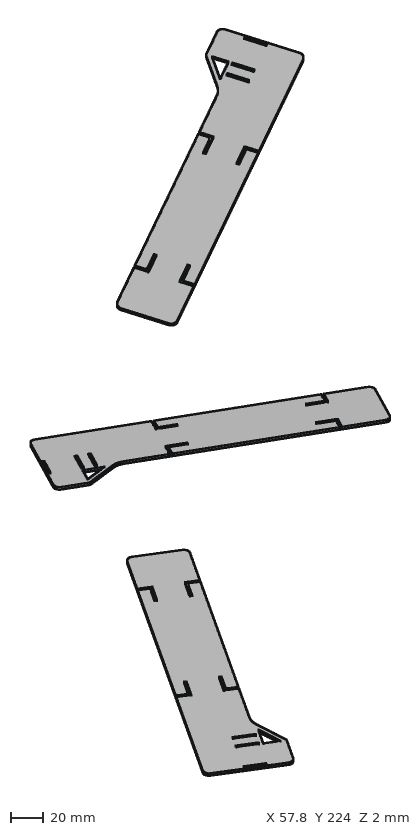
import cadquery as cq

length = 224.0
head_width = 57.8
body_width = 40.0
thickness = 2.0
corner_radius = 4.0
body_left = head_width - body_width

shoulder_top = length - 22.6
shoulder_bottom = length - 45.5
shoulder_top_radius = 2.2
shoulder_bottom_radius = 12.0
shoulder_slope = (shoulder_top - shoulder_bottom) / body_left

window_left = 4.0
window_right = 15.0
window_top = length - 22.5
window_bottom = window_top - shoulder_slope * (window_right - window_left)

slot_length = 14.5
slot_width = 1.5
slot_center_depths = (1.5, 23.0, 31.8)

groove_width = 1.5
groove_depth = 1.3
groove_reach = 9.6
groove_height = 14.0
groove_inner_radius = 1.3
groove_upper_y = length - 79.7
groove_lower_y = length - 191.7


def make_plate():
    outline = [
        (body_left, 0),
        (head_width, 0),
        (head_width, length),
        (0, length),
        (0, shoulder_top),
        (body_left, shoulder_bottom),
    ]
    plate = cq.Workplane("XY").polyline(outline).close().extrude(thickness)
    outer_corners = plate.edges("|Z and (<Y or >Y)")
    plate = outer_corners.fillet(corner_radius)
    for x, y, radius in (
        (0, shoulder_top, shoulder_top_radius),
        (body_left, shoulder_bottom, shoulder_bottom_radius),
    ):
        corner = cq.selectors.NearestToPointSelector((x, y, thickness / 2))
        plate = plate.edges("|Z").edges(corner).fillet(radius)
    return plate


def make_window():
    corners = [
        (window_left, window_top),
        (window_right, window_top),
        (window_right, window_bottom),
    ]
    return cq.Workplane("XY").polyline(corners).close().extrude(thickness)


def make_slots():
    slot_x = body_left + slot_length / 2
    centers = [(slot_x, length - depth) for depth in slot_center_depths]
    return cq.Workplane("XY").pushPoints(centers).rect(slot_length, slot_width).extrude(thickness)


def make_groove(side_x, inward, outer_y, leg_direction):
    """One L: an arm from the plate side and a leg turning along the plate."""
    outer_x = side_x + inward * groove_reach
    inner_x = outer_x - inward * groove_width
    inner_y = outer_y + leg_direction * groove_width
    leg_end_y = outer_y + leg_direction * groove_height
    bend_x = inner_x - inward * groove_inner_radius
    bend_y = inner_y + leg_direction * groove_inner_radius
    bend_shift = groove_inner_radius * 0.5 ** 0.5
    bend_middle = (bend_x + inward * bend_shift, bend_y - leg_direction * bend_shift)
    return (
        cq.Workplane("XY")
        .workplane(offset=thickness - groove_depth)
        .moveTo(side_x, outer_y)
        .lineTo(outer_x, outer_y)
        .lineTo(outer_x, leg_end_y)
        .lineTo(inner_x, leg_end_y)
        .lineTo(inner_x, bend_y)
        .threePointArc(bend_middle, (bend_x, inner_y))
        .lineTo(side_x, inner_y)
        .close()
        .extrude(groove_depth)
    )


result = make_plate().cut(make_window()).cut(make_slots())
for side_x, inward in ((body_left, 1), (head_width, -1)):
    for outer_y, leg_direction in ((groove_upper_y, -1), (groove_lower_y, 1)):
        result = result.cut(make_groove(side_x, inward, outer_y, leg_direction))